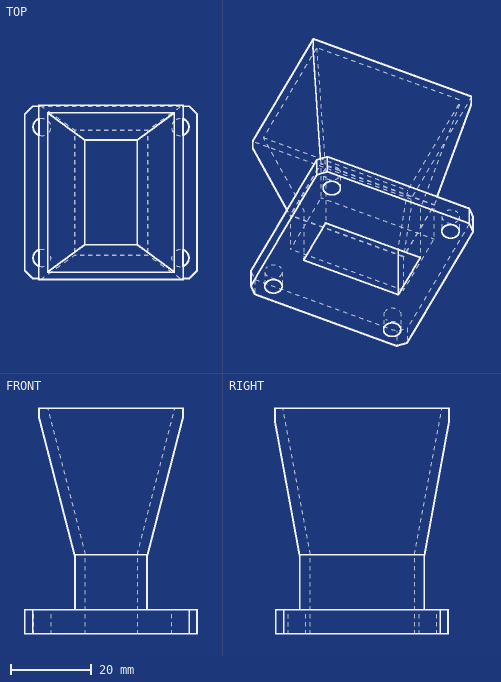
import cadquery as cq

flange_size = 42.8
flange_thickness = 6.0
flange_chamfer = 2.0
hole_diameter = 4.3
hole_pitch_x = 34.3
hole_pitch_y = 32.5

bore_x = 12.95
bore_y = 2 * bore_x
tube_x = 17.9
tube_y = 30.9

total_height = 56.0
flare_base_z = 20.0
mouth_x = 31.45
mouth_y = 39.5
rim_x = 35.74
rim_y = 43.27
horn_base_z = 19.6
horn_base_x = 18.2
horn_base_y = 31.1
rim_height_x = 2.4
rim_height_y = 3.3


def block(size_x, size_y, bottom_z, top_z):
    """Box centred on the Z axis between two heights."""
    return (
        cq.Workplane("XY")
        .workplane(offset=bottom_z)
        .rect(size_x, size_y)
        .extrude(top_z - bottom_z)
    )


def make_flange():
    plate = block(flange_size, flange_size, 0, flange_thickness)
    plate = plate.edges("|Z").chamfer(flange_chamfer)
    return (
        plate.faces(">Z")
        .workplane()
        .rect(hole_pitch_x, hole_pitch_y, forConstruction=True)
        .vertices()
        .hole(hole_diameter)
    )


def horn_profile(plane, base, rim, rim_height, depth):
    """Prism with a flared outline that turns vertical below the rim."""
    bend_z = total_height - rim_height
    outline = [
        (-base / 2, horn_base_z),
        (base / 2, horn_base_z),
        (rim / 2, bend_z),
        (rim / 2, total_height),
        (-rim / 2, total_height),
        (-rim / 2, bend_z),
    ]
    return cq.Workplane(plane).polyline(outline).close().extrude(depth / 2, both=True)


def make_horn():
    """The two flared prisms crossed, so each pair of walls has its own bend height."""
    across_x = horn_profile("XZ", horn_base_x, rim_x, rim_height_x, rim_y)
    across_y = horn_profile("YZ", horn_base_y, rim_y, rim_height_y, rim_x)
    return across_x.intersect(across_y)


def make_bore():
    straight = block(bore_x, bore_y, 0, flare_base_z)
    flare = (
        cq.Workplane("XY")
        .workplane(offset=flare_base_z)
        .rect(bore_x, bore_y)
        .workplane(offset=total_height - flare_base_z)
        .rect(mouth_x, mouth_y)
        .loft(ruled=True)
    )
    return straight.union(flare)


tube = block(tube_x, tube_y, 0, horn_base_z)
result = make_flange().union(tube).union(make_horn()).cut(make_bore())